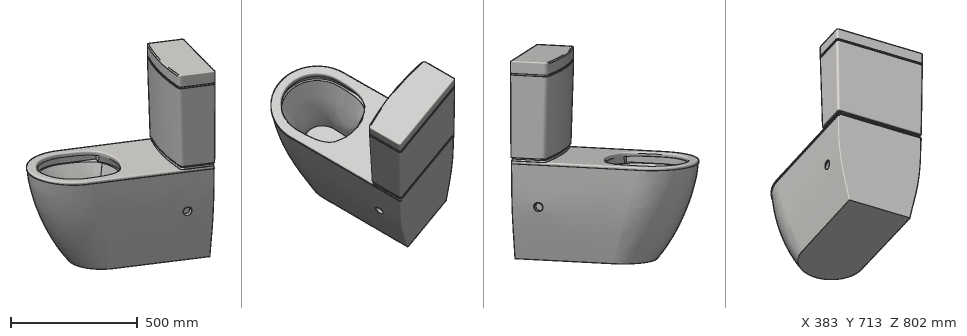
import cadquery as cq
import math


TOTAL_HEIGHT = 802.0
TOTAL_DEPTH = 713.0
TANK_WIDTH = 383.0

RIM_HEIGHT = 401.0
PAN_BACK = 3.0
PAN_SECTIONS = [
    (0.0, 135.5, 409.0, 544.5),
    (64.0, 149.0, 428.0, 592.0),
    (176.5, 172.0, 463.0, 652.0),
    (297.0, 183.0, 500.5, 694.5),
    (390.0, 184.5, 528.0, 710.5),
]
PAN_BACK_FILLET = 4.0
PAN_TAPER = 2.5

LIP_HALF_WIDTH = 187.0
LIP_ROUNDING = 6.5

OPENING = (100.0, 372.0, 142.0, 525.0, 341.0, 672.0)
BOWL_FLOOR = (67.0, 397.0, 72.0, 497.0, 379.0, 577.5)
BOWL_FLOOR_HEIGHT = 160.0
LEDGE_HEIGHT = 357.0
OPENING_ROUNDING = 6.0
BOWL_STEPS = 3

CHANNEL_HEIGHT = 28.0
CHANNEL_BACK = 381.0
CHANNEL_OUTSET = 8.0
CHANNEL_REAR_OUTSET = 10.0

HOLE_DIAMETER = 34.0
HOLE_CHAMFER = 3.0
HOLE_DEPTH = 24.0
HOLE_CENTRE_DEPTH = 112.0
HOLE_CENTRE_HEIGHT = 219.0
HOLE_FLANK_HALF_WIDTH = 178.0

TANK_BOTTOM = 414.0
TANK_TOP = 747.0
LID_BOTTOM = 753.0
TANK_BASE_HALF_WIDTH = 187.0
TANK_BASE_DEPTH = 159.5
TANK_TOP_DEPTH = 169.0
FRONT_BULGE = 16.0
TANK_FRONT_RADIUS = 16.0
TANK_BACK_RADIUS = 9.0
TANK_BASE_ROUNDING = 3.0
LID_ROUNDING = 5.0
JOINT_INSET = 2.5
NECK_INSET = 6.0
NECK_FLARE = 3.0
NECK_FLARE_HEIGHT = 7.0


def u_outline(height, half_width, seam_depth, front_depth, back_depth, taper=0.0):
    """Flat back, sides drawn in by the taper towards the front, and a half-elliptic front."""
    seam_half_width = half_width - taper
    back_left = cq.Vector(-half_width, -back_depth, height)
    back_right = cq.Vector(half_width, -back_depth, height)
    seam_left = cq.Vector(-seam_half_width, -seam_depth, height)
    seam_right = cq.Vector(seam_half_width, -seam_depth, height)
    return cq.Wire.assembleEdges([
        cq.Edge.makeLine(back_right, back_left),
        cq.Edge.makeLine(back_left, seam_left),
        half_ellipse(height, seam_half_width, seam_depth, front_depth),
        cq.Edge.makeLine(seam_right, back_right),
    ])


def half_ellipse(height, half_width, seam_depth, front_depth):
    """Front half of an ellipse, from its left end round to its right end."""
    return cq.Edge.makeEllipse(
        half_width, front_depth - seam_depth, cq.Vector(0, -seam_depth, height),
        cq.Vector(0, 0, 1), cq.Vector(1, 0, 0), 180, 360,
    )


def pan_outline(height, half_width, seam_depth, front_depth):
    wire = u_outline(height, half_width, seam_depth, front_depth, PAN_BACK, PAN_TAPER)
    back_corners = [v for v in wire.Vertices() if v.Y > -seam_depth / 2]
    return wire.fillet2D(PAN_BACK_FILLET, back_corners)


def prism(wire, height):
    return cq.Workplane(cq.Solid.extrudeLinear(wire, [], cq.Vector(0, 0, height)))


def straight_loft(lower, upper):
    return cq.Workplane(cq.Solid.makeLoft([lower, upper], True))


def make_pan():
    """Tapering pan with an overhanging rounded lip around its top."""
    shell = cq.Workplane(cq.Solid.makeLoft([pan_outline(*section) for section in PAN_SECTIONS]))
    lip_bottom, _, seam_depth, _ = PAN_SECTIONS[-1]
    lip = prism(
        pan_outline(lip_bottom, LIP_HALF_WIDTH, seam_depth, TOTAL_DEPTH), RIM_HEIGHT - lip_bottom
    )
    lip = lip.faces(">Z").edges().fillet(LIP_ROUNDING)
    return shell.union(lip)


def bowl_outline(height, outline, sharpness=0.0):
    """Egg-shaped ring with an arched back.

    The back runs smoothly into the sides at sharpness 0 and meets them at a crease at 1.
    """
    corner_x, corner_depth, side_x, side_depth, rear_depth, front_depth = outline
    left_corner = cq.Vector(-corner_x, -corner_depth, height)
    right_corner = cq.Vector(corner_x, -corner_depth, height)
    left_side = cq.Vector(-side_x, -side_depth, height)
    right_side = cq.Vector(side_x, -side_depth, height)
    back = cq.Edge.makeThreePointArc(
        right_corner, cq.Vector(0, -rear_depth, height), left_corner
    )
    forward = cq.Vector(0, -1, 0)
    backward = cq.Vector(0, 1, 0)
    leave_back = back.tangentAt(1) * (1 - sharpness) + forward * sharpness
    meet_back = back.tangentAt(0) * (1 - sharpness) + backward * sharpness
    return cq.Wire.assembleEdges([
        back,
        cq.Edge.makeSpline([left_corner, left_side], [leave_back, forward]),
        half_ellipse(height, side_x, side_depth, front_depth),
        cq.Edge.makeSpline([right_side, right_corner], [backward, meet_back]),
    ])


def cut_opening(pan):
    """Upright wall from the rim down to the ledge, with a rounded top edge."""
    pan = pan.cut(prism(bowl_outline(LEDGE_HEIGHT, OPENING), RIM_HEIGHT - LEDGE_HEIGHT))
    opening_edges = pan.faces(">Z").val().innerWires()[0].Edges()
    return pan.newObject(opening_edges).fillet(OPENING_ROUNDING)


def make_bowl():
    """Hollow of the bowl: a funnel from the ledge that steepens towards a flat floor."""
    drop = LEDGE_HEIGHT - BOWL_FLOOR_HEIGHT
    wires = []
    for step in range(BOWL_STEPS + 1):
        fraction = step / BOWL_STEPS
        closing = math.sin(fraction * math.pi / 2)
        outline = [top + (floor - top) * closing for top, floor in zip(OPENING, BOWL_FLOOR)]
        wires.append(bowl_outline(LEDGE_HEIGHT - drop * fraction, outline, closing))
    return cq.Workplane(cq.Solid.makeLoft(wires))


def make_channel():
    """Space that undercuts the rim, standing on the ledge."""
    corner_x, corner_depth, side_x, side_depth, rear_depth, front_depth = OPENING
    sides_and_front = u_outline(
        LEDGE_HEIGHT, side_x + CHANNEL_OUTSET, side_depth, front_depth + CHANNEL_OUTSET, CHANNEL_BACK
    )
    rear_foot = bowl_outline(LEDGE_HEIGHT, (
        corner_x, corner_depth - CHANNEL_REAR_OUTSET, side_x, side_depth,
        rear_depth - CHANNEL_REAR_OUTSET, front_depth,
    ))
    rear = straight_loft(rear_foot, bowl_outline(LEDGE_HEIGHT + CHANNEL_HEIGHT, OPENING))
    return prism(sides_and_front, CHANNEL_HEIGHT).union(rear)


def make_fixing_hole(side):
    """Blind hole with a chamfered mouth; side is -1 or 1."""
    mouth = cq.Vector(side * HOLE_FLANK_HALF_WIDTH, -HOLE_CENTRE_DEPTH, HOLE_CENTRE_HEIGHT)
    inward = cq.Vector(-side, 0, 0)
    radius = HOLE_DIAMETER / 2
    outer_radius = radius + HOLE_CHAMFER
    bore = cq.Solid.makeCylinder(radius, HOLE_DEPTH, mouth, inward)
    chamfer = cq.Solid.makeCone(outer_radius, radius, HOLE_CHAMFER, mouth, inward)
    clearance = cq.Solid.makeCylinder(outer_radius, HOLE_CHAMFER, mouth, inward * -1)
    return cq.Workplane(bore).union(cq.Workplane(chamfer)).union(cq.Workplane(clearance))


def tank_outline(height, half_width, front_depth, inset=0.0):
    """Rectangle with a gently bowed front and rounded corners, drawn in by the inset."""
    x = half_width - inset
    back_y = -inset
    front_y = inset - front_depth
    side_y = front_y + FRONT_BULGE
    back_left = cq.Vector(-x, back_y, height)
    back_right = cq.Vector(x, back_y, height)
    front_left = cq.Vector(-x, side_y, height)
    front_right = cq.Vector(x, side_y, height)
    front_middle = cq.Vector(0, front_y, height)
    wire = cq.Wire.assembleEdges([
        cq.Edge.makeLine(back_right, back_left),
        cq.Edge.makeLine(back_left, front_left),
        cq.Edge.makeThreePointArc(front_left, front_middle, front_right),
        cq.Edge.makeLine(front_right, back_right),
    ])
    middle_y = (back_y + side_y) / 2
    front_corners = [v for v in wire.Vertices() if v.Y < middle_y]
    wire = wire.fillet2D(TANK_FRONT_RADIUS, front_corners)
    back_corners = [v for v in wire.Vertices() if v.Y > back_y - TANK_BACK_RADIUS / 2]
    return wire.fillet2D(TANK_BACK_RADIUS, back_corners)


def base_outline(height, inset=0.0):
    return tank_outline(height, TANK_BASE_HALF_WIDTH, TANK_BASE_DEPTH, inset)


def top_outline(height, inset=0.0):
    return tank_outline(height, TANK_WIDTH / 2, TANK_TOP_DEPTH, inset)


def make_neck():
    """Short recessed neck between the pan and the tank, flared at its foot."""
    flare_top = RIM_HEIGHT + NECK_FLARE_HEIGHT
    flare = straight_loft(
        base_outline(RIM_HEIGHT, NECK_INSET - NECK_FLARE), base_outline(flare_top, NECK_INSET)
    )
    stem = straight_loft(base_outline(flare_top, NECK_INSET), base_outline(TANK_BOTTOM, NECK_INSET))
    return flare.union(stem)


def make_tank():
    body = straight_loft(base_outline(TANK_BOTTOM), top_outline(TANK_TOP))
    body = body.faces("<Z").edges().fillet(TANK_BASE_ROUNDING)
    joint = straight_loft(top_outline(TANK_TOP, JOINT_INSET), top_outline(LID_BOTTOM, JOINT_INSET))
    lid = straight_loft(top_outline(LID_BOTTOM), top_outline(TOTAL_HEIGHT))
    lid = lid.faces(">Z").edges().fillet(LID_ROUNDING)
    return body.union(joint).union(lid)


result = cut_opening(make_pan())
result = result.cut(make_bowl())
result = result.cut(make_channel())
for hole_side in (-1, 1):
    result = result.cut(make_fixing_hole(hole_side))
result = result.union(make_neck()).union(make_tank())